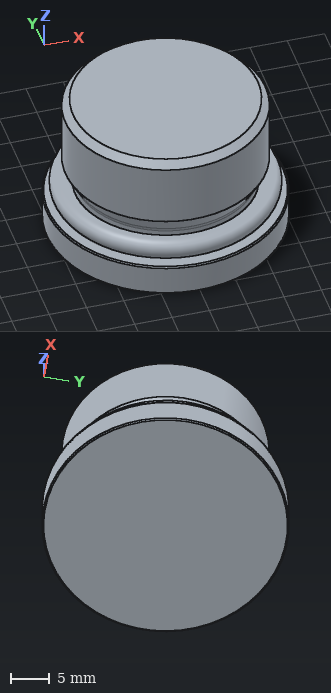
import cadquery as cq
import math

flange_diameter = 31.75
flange_height = 4.4
flange_chamfer = 0.2

total_height = 19.5
head_diameter = 26.73
head_chamfer = 1.02
head_bottom_z = 9.97

neck_diameter = 24.0
cone_angle = 30.0
neck_fillet_radius = 1.02
cone_height = (head_diameter - neck_diameter) / 2 / math.tan(math.radians(cone_angle))
neck_top_z = head_bottom_z - cone_height

ring_section_diameter = 2.95


def make_plug():
    """Stepped round plug: flange, neck, cone and chamfered head, revolved about Z."""
    flange_radius = flange_diameter / 2
    neck_radius = neck_diameter / 2
    head_radius = head_diameter / 2
    sharp_plug = (
        cq.Workplane("XZ")
        .moveTo(0, 0)
        .lineTo(flange_radius - flange_chamfer, 0)
        .lineTo(flange_radius, flange_chamfer)
        .lineTo(flange_radius, flange_height - flange_chamfer)
        .lineTo(flange_radius - flange_chamfer, flange_height)
        .lineTo(neck_radius, flange_height)
        .lineTo(neck_radius, neck_top_z)
        .lineTo(head_radius, head_bottom_z)
        .lineTo(head_radius, total_height - head_chamfer)
        .lineTo(head_radius - head_chamfer, total_height)
        .lineTo(0, total_height)
        .close()
        .revolve(360, (0, 0, 0), (0, 1, 0))
    )
    neck_corner = cq.selectors.NearestToPointSelector((0, 0, neck_top_z))
    return sharp_plug.edges("%CIRCLE").edges(neck_corner).fillet(neck_fillet_radius)


def make_seal_ring():
    """O-ring whose section touches the neck wall and the flange top."""
    section_radius = ring_section_diameter / 2
    center_radius = neck_diameter / 2 + section_radius
    center_z = flange_height + section_radius
    return (
        cq.Workplane("XZ")
        .center(center_radius, center_z)
        .circle(section_radius)
        .revolve(360, (-center_radius, 0, 0), (-center_radius, 1, 0))
    )


plug = make_plug()
seal_ring = make_seal_ring()

result = cq.Compound.makeCompound([plug.val(), seal_ring.val()])